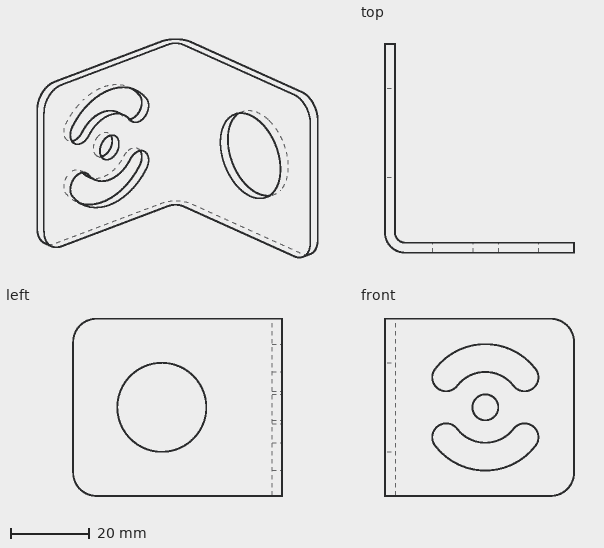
import cadquery as cq
import math

width = 48.0
depth = 53.0
height = 45.0
thickness = 2.6
bend_outer_radius = 5.2
bend_inner_radius = bend_outer_radius - thickness
corner_radius = 6.0

side_hole_diameter = 22.5
side_hole_y = 30.5

pivot_x = 25.5
pivot_diameter = 6.5
slot_mid_radius = 12.5
slot_width = 7.0
slot_end_angle = 37.4

mid_height = height / 2
cut_margin = 0.55
cut_length = thickness + 2 * cut_margin


def bent_sheet():
    """Two perpendicular plates joined by a rounded bend."""
    profile = (
        cq.Workplane("XY")
        .polyline([
            (0, 0),
            (width, 0),
            (width, thickness),
            (thickness, thickness),
            (thickness, depth),
            (0, depth),
        ])
        .close()
        .extrude(height)
    )
    outer_edge = cq.selectors.NearestToPointSelector((0, 0, mid_height))
    inner_edge = cq.selectors.NearestToPointSelector((thickness, thickness, mid_height))
    sheet = profile.edges(outer_edge).fillet(bend_outer_radius)
    sheet = sheet.edges(inner_edge).fillet(bend_inner_radius)
    sheet = sheet.faces(">X").edges("|Y").fillet(corner_radius)
    return sheet.faces(">Y").edges("|X").fillet(corner_radius)


def front_plane():
    """Sketch plane ahead of the front plate, centred on the pivot."""
    return cq.Workplane("XZ", origin=(pivot_x, -cut_margin, mid_height))


def curved_slot(side):
    """Round-ended arc slot above (side=1) or below (side=-1) the pivot."""
    cosine = math.cos(math.radians(slot_end_angle))
    sine = math.sin(math.radians(slot_end_angle))
    end_radius = slot_width / 2
    inner = slot_mid_radius - end_radius
    outer = slot_mid_radius + end_radius
    cap_x = slot_mid_radius * cosine + end_radius * sine
    cap_z = side * (slot_mid_radius * sine - end_radius * cosine)
    return (
        front_plane()
        .moveTo(outer * cosine, side * outer * sine)
        .threePointArc((0, side * outer), (-outer * cosine, side * outer * sine))
        .threePointArc((-cap_x, cap_z), (-inner * cosine, side * inner * sine))
        .threePointArc((0, side * inner), (inner * cosine, side * inner * sine))
        .threePointArc((cap_x, cap_z), (outer * cosine, side * outer * sine))
        .close()
        .extrude(-cut_length)
    )


side_hole = (
    cq.Workplane("YZ", origin=(-cut_margin, side_hole_y, mid_height))
    .circle(side_hole_diameter / 2)
    .extrude(cut_length)
)
pivot_hole = front_plane().circle(pivot_diameter / 2).extrude(-cut_length)

result = bent_sheet().cut(side_hole).cut(pivot_hole)
for side in (1, -1):
    result = result.cut(curved_slot(side))